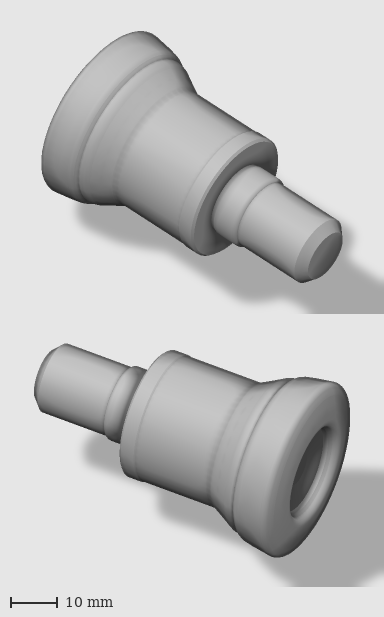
import cadquery as cq


ring_back_x = 10.65
ring_back_radius = 17.75
bore_radius = 9.75
mouth_radius = 12.15
mouth_wall_x = 1.95

face_edge = (0.85, 17.7)
face_middle = (0.25, 15.3)
brow_middle = (1.1, 18.4)
brow_end = (1.4, 19.05)
crown_middle = (2.2, 19.8)
crown_end = (3.2, 19.9)
flank_middle = (5.9, 19.5)
flank_end = (8.6, 19.0)
back_round_middle = (9.35, 18.8)
back_round_end = (9.95, 18.45)
mouth_round_middle = (0.4, 10.9)
mouth_round_end = (1.25, 10.3)

dish_rim_x = 3.1
dish_depth = 0.9
dish_flat_radius = 4.0

shoulder_flat_end_x = 11.2
shoulder_round_middle = (12.3, 17.5)
flare_start = (13.25, 17.0)
flare_end = (17.4, 14.75)
flare_round_middle = (18.1, 14.45)
sleeve_start_x = 18.8
sleeve_radius = 28.6 / 2
sleeve_end_x = 35.95
collar_radius = 29.0 / 2
collar_start_x = 36.35
collar_end_x = 40.0
collar_chamfer = 0.5

neck_radius = 8.3
neck_end_x = 40.6
band_radius = 17.0 / 2
band_start_x = 41.1
band_end_x = 45.9
band_round_middle = (46.55, 8.3)
stem_radius = 15.75 / 2
stem_start_x = 47.0
overall_length = 65.0
tip_chamfer = 2.1


def revolve_about_x(profile):
    """Close an (x, radius) profile and turn it a full circle about the X axis."""
    return profile.close().revolve(360, (0, 0, 0), (1, 0, 0))


def make_grip_ring():
    """Rounded ring with a flared mouth and a through bore."""
    profile = (
        cq.Workplane("XY")
        .moveTo(0, mouth_radius)
        .threePointArc(face_middle, face_edge)
        .threePointArc(brow_middle, brow_end)
        .threePointArc(crown_middle, crown_end)
        .threePointArc(flank_middle, flank_end)
        .threePointArc(back_round_middle, back_round_end)
        .lineTo(ring_back_x, ring_back_radius)
        .lineTo(ring_back_x, bore_radius)
        .lineTo(mouth_wall_x, bore_radius)
        .lineTo(*mouth_round_end)
        .threePointArc(mouth_round_middle, (0, mouth_radius))
    )
    return revolve_about_x(profile)


def make_plunger():
    """Housing and stem in one piece, with a spigot that fills the ring bore."""
    profile = (
        cq.Workplane("XY")
        .moveTo(dish_rim_x + dish_depth, 0)
        .lineTo(dish_rim_x + dish_depth, dish_flat_radius)
        .lineTo(dish_rim_x, bore_radius)
        .lineTo(ring_back_x, bore_radius)
        .lineTo(ring_back_x, ring_back_radius)
        .lineTo(shoulder_flat_end_x, ring_back_radius)
        .threePointArc(shoulder_round_middle, flare_start)
        .lineTo(*flare_end)
        .threePointArc(flare_round_middle, (sleeve_start_x, sleeve_radius))
        .lineTo(sleeve_end_x, sleeve_radius)
        .lineTo(collar_start_x, collar_radius)
        .lineTo(collar_end_x - collar_chamfer, collar_radius)
        .lineTo(collar_end_x, collar_radius - collar_chamfer)
        .lineTo(collar_end_x, neck_radius)
        .lineTo(neck_end_x, neck_radius)
        .lineTo(band_start_x, band_radius)
        .lineTo(band_end_x, band_radius)
        .threePointArc(band_round_middle, (stem_start_x, stem_radius))
        .lineTo(overall_length - tip_chamfer, stem_radius)
        .lineTo(overall_length, stem_radius - tip_chamfer)
        .lineTo(overall_length, 0)
    )
    return revolve_about_x(profile)


grip_ring = make_grip_ring()
plunger = make_plunger()

result = cq.Compound.makeCompound([grip_ring.val(), plunger.val()])